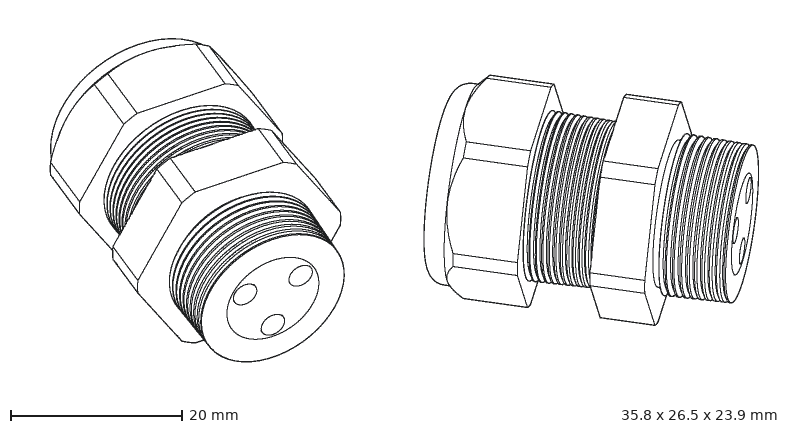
import cadquery as cq
import math


total_length = 35.81
front_x = -total_length / 2
rear_x = total_length / 2
dome_length = 2.8
front_hex_end_x = front_x + 11.81
middle_hex_start_x = front_x + 20.46
middle_hex_end_x = front_x + 27.0

hex_sides = 6
across_flats = 23.88
across_corners = 26.49
corner_radius = across_corners / 2
dome_setback = 0.04
dome_radius = across_flats / 2 - dome_setback
dome_fillet = 2.0
hex_chamfer = corner_radius - dome_radius

flank_angle = math.radians(60)
flank_slope = math.tan(flank_angle)
crest_taper = 1 / 32

front_thread_pitch = 0.759
front_thread_rings = 11
front_root_radius = 9.47
front_crest_radius = 10.06
front_first_root_x = front_hex_end_x + front_thread_pitch / 2

rear_thread_pitch = 0.886
rear_thread_rings = 9
rear_root_radius = 8.9
rear_crest_radius = 9.59
rear_first_root_x = rear_x - (rear_thread_rings - 0.5) * rear_thread_pitch

undercut_radius = 8.68
undercut_fillet = 0.72
undercut_arc_end_x = middle_hex_end_x + undercut_fillet * math.sin(flank_angle)
undercut_arc_end_radius = undercut_radius + undercut_fillet * (1 - math.cos(flank_angle))

plug_radius = 6.0
recess_radius = 5.72
recess_depth = 0.45
cable_hole_count = 3
cable_hole_diameter = 3.05
cable_hole_circle_radius = 4.18


def disc(radius, start_x, end_x):
    """Cylinder on the X axis."""
    return cq.Workplane("YZ", origin=(start_x, 0, 0)).circle(radius).extrude(end_x - start_x)


def turned(profile):
    """Turn a closed (x, radius) profile, drawn in the XZ plane, about the X axis."""
    return profile.close().revolve(360, (0, 0, 0), (1, 0, 0))


def hex_prism(start_x, end_x):
    """Hexagonal prism with flats facing up and down and corners pointing along Y."""
    corner_distance = across_flats / math.cos(math.pi / hex_sides)
    return (
        cq.Workplane("YZ", origin=(start_x, 0, 0))
        .polygon(hex_sides, corner_distance)
        .extrude(end_x - start_x)
    )


def front_hex():
    """Hex whose front end is turned to a chamfer and a rounded dome."""
    chamfer_start_x = front_x + dome_length
    blank = turned(
        cq.Workplane("XZ")
        .moveTo(front_x, 0)
        .lineTo(front_x, dome_radius - dome_fillet)
        .radiusArc((front_x + dome_fillet, dome_radius), dome_fillet)
        .lineTo(chamfer_start_x, dome_radius)
        .lineTo(chamfer_start_x + hex_chamfer, corner_radius)
        .lineTo(front_hex_end_x, corner_radius)
        .lineTo(front_hex_end_x, 0)
    )
    return blank.intersect(hex_prism(front_x, front_hex_end_x))


def middle_hex():
    prism = hex_prism(middle_hex_start_x, middle_hex_end_x)
    return prism.intersect(disc(corner_radius, middle_hex_start_x, middle_hex_end_x))


def ring_thread(profile, first_root_x, rings, pitch, root_radius, crest_radius, start_x):
    """Add V grooves and the flat crests between them to a profile that ends on a crest.

    The crest line is a cone that has crest_radius at start_x.
    """
    for ring in range(rings):
        root_x = first_root_x + ring * pitch
        height = crest_radius - crest_taper * (root_x - start_x) - root_radius
        left_run = height / (flank_slope - crest_taper)
        right_run = height / (flank_slope + crest_taper)
        profile = (
            profile.lineTo(root_x - left_run, root_radius + flank_slope * left_run)
            .lineTo(root_x, root_radius)
            .lineTo(root_x + right_run, root_radius + flank_slope * right_run)
        )
    return profile


def front_thread():
    profile = (
        cq.Workplane("XZ")
        .moveTo(front_hex_end_x, 0)
        .lineTo(front_hex_end_x, front_crest_radius)
    )
    profile = ring_thread(
        profile, front_first_root_x, front_thread_rings, front_thread_pitch,
        front_root_radius, front_crest_radius, front_hex_end_x,
    )
    end_crest = front_crest_radius - crest_taper * (middle_hex_start_x - front_hex_end_x)
    return turned(profile.lineTo(middle_hex_start_x, end_crest).lineTo(middle_hex_start_x, 0))


def rear_thread():
    arc_end_crest = rear_crest_radius - crest_taper * (undercut_arc_end_x - middle_hex_end_x)
    flank_run = (arc_end_crest - undercut_arc_end_radius) / (flank_slope + crest_taper)
    profile = (
        cq.Workplane("XZ")
        .moveTo(middle_hex_end_x, 0)
        .lineTo(middle_hex_end_x, undercut_radius)
        .radiusArc((undercut_arc_end_x, undercut_arc_end_radius), -undercut_fillet)
        .lineTo(undercut_arc_end_x + flank_run, undercut_arc_end_radius + flank_slope * flank_run)
    )
    profile = ring_thread(
        profile, rear_first_root_x, rear_thread_rings, rear_thread_pitch,
        rear_root_radius, rear_crest_radius, middle_hex_end_x,
    )
    end_crest = rear_crest_radius - crest_taper * (rear_x - middle_hex_end_x)
    return turned(profile.lineTo(rear_x, end_crest).lineTo(rear_x, 0))


def gland_housing():
    """Front hex, front thread, middle hex and rear thread with a plain bore right through."""
    solid = front_hex().union(front_thread()).union(middle_hex()).union(rear_thread())
    return solid.cut(disc(plug_radius, front_x, rear_x))


def cable_plug():
    """Plug flush with the dome face, with a shallow recess and cable holes right through."""
    plug = disc(plug_radius, front_x, rear_x)
    recess = disc(recess_radius, front_x, front_x + recess_depth)
    cable_holes = (
        cq.Workplane("YZ", origin=(front_x, 0, 0))
        .polarArray(cable_hole_circle_radius, -90, 360, cable_hole_count)
        .circle(cable_hole_diameter / 2)
        .extrude(total_length)
    )
    return plug.cut(recess).cut(cable_holes)


housing = gland_housing()
plug = cable_plug()

result = cq.Compound.makeCompound([housing.val(), plug.val()])